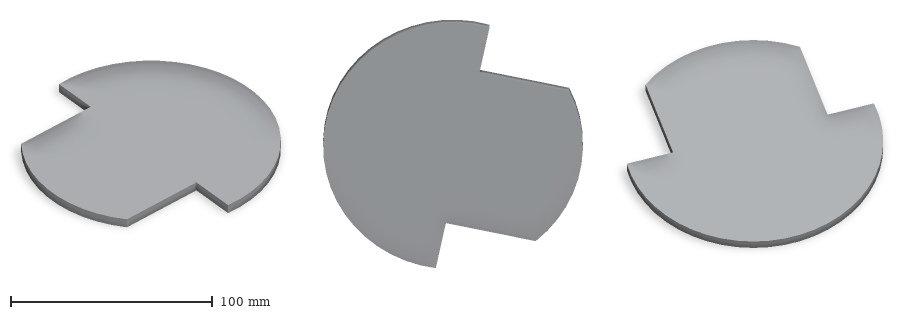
import cadquery as cq

diameter = 128.8
thickness = 5.0
tab_width = 80.2
shoulder_y = -4.9

radius = diameter / 2
notch_width = radius - tab_width / 2
notch_length = radius + shoulder_y


def side_notch(side):
    """Block that removes the disc beside the tab; side is -1 or +1 along X."""
    center_x = side * (tab_width + notch_width) / 2
    center_y = shoulder_y - notch_length / 2
    return (
        cq.Workplane("XY")
        .center(center_x, center_y)
        .rect(notch_width, notch_length)
        .extrude(thickness)
    )


result = cq.Workplane("XY").circle(radius).extrude(thickness)
for side in (-1, 1):
    result = result.cut(side_notch(side))